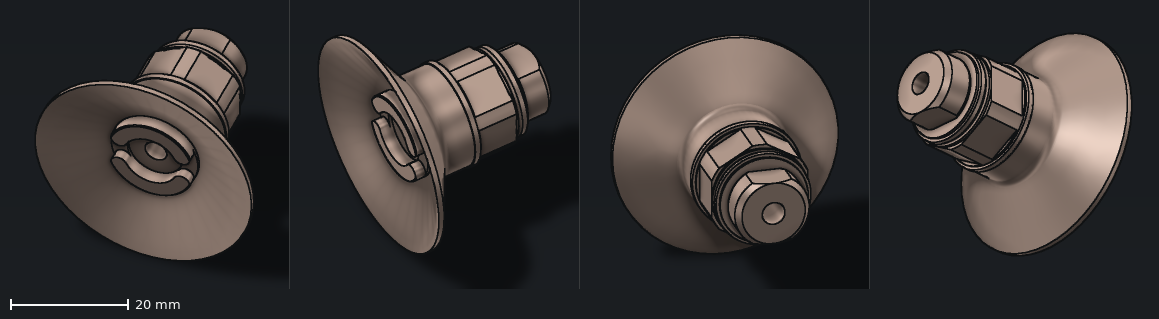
import cadquery as cq
import math

lip_radius = 20.0
lip_thickness = 1.1
cup_floor_y = 5.6
cup_floor_radius = 8.0
neck_radius = 9.5
neck_start_y = 8.4
throat_round = 1.65
cone_start_y = 7.0

collar_radius = 9.7
collar_start_y = 13.45
collar_end_y = 14.5
hex_corner_radius = 9.15
hex_start_y = 14.9
hex_end_y = 22.3
hex_flat_distance = 8.5
shoulder_end_y = 22.8
groove_radius = 7.2
groove_end_y = 23.1

flange_radius = 8.4
flange_chamfer = 0.4
flange_chamfer_end_y = 23.6
flange_end_y = 24.6
washer_radius = 7.8
washer_end_y = 25.1
head_radius = 6.6
head_base_radius = 6.3
head_base_end_y = 25.7
head_flat_distance = 5.6
head_chamfer = head_radius - head_flat_distance
head_end_y = 30.9

bore_radius = 2.0
support_inner_radius = 5.0
support_tip_y = 3.05
land_height = 0.6
land_y = cup_floor_y - land_height
support_chamfer = 0.2
support_end_radius = (cup_floor_radius - support_inner_radius) / 2
support_mid_radius = (cup_floor_radius + support_inner_radius) / 2
gap_clearance = 0.4
support_end_z = 3.0


def turned_body():
    throat_centre_radius = neck_radius + throat_round
    throat_angle = math.asin((neck_start_y - cone_start_y) / throat_round)

    def throat_point(angle):
        return (
            throat_centre_radius - throat_round * math.cos(angle),
            neck_start_y - throat_round * math.sin(angle),
        )

    profile = (
        cq.Workplane("XY")
        .moveTo(0, cup_floor_y)
        .lineTo(support_inner_radius, cup_floor_y)
        .lineTo(support_inner_radius, support_tip_y)
        .lineTo(cup_floor_radius - support_chamfer, support_tip_y)
        .lineTo(cup_floor_radius, support_tip_y + support_chamfer)
        .lineTo(cup_floor_radius, cup_floor_y)
        .lineTo(lip_radius, 0)
        .lineTo(lip_radius, lip_thickness)
        .lineTo(*throat_point(throat_angle))
        .threePointArc(throat_point(throat_angle / 2), (neck_radius, neck_start_y))
        .lineTo(neck_radius, collar_start_y)
        .lineTo(collar_radius, collar_start_y)
        .lineTo(collar_radius, collar_end_y)
        .lineTo(hex_corner_radius, collar_end_y)
        .lineTo(hex_corner_radius, hex_end_y)
        .lineTo(hex_flat_distance, hex_end_y)
        .lineTo(hex_flat_distance, shoulder_end_y)
        .lineTo(groove_radius, shoulder_end_y)
        .lineTo(groove_radius, groove_end_y)
        .lineTo(flange_radius - flange_chamfer, groove_end_y)
        .lineTo(flange_radius, flange_chamfer_end_y)
        .lineTo(flange_radius, flange_end_y)
        .lineTo(washer_radius, flange_end_y)
        .lineTo(washer_radius, washer_end_y)
        .lineTo(head_base_radius, washer_end_y)
        .lineTo(head_radius, head_base_end_y)
        .lineTo(head_radius, head_end_y - head_chamfer)
        .lineTo(head_radius - head_chamfer, head_end_y)
        .lineTo(0, head_end_y)
        .close()
    )
    return profile.revolve(360, (0, 0, 0), (0, 1, 0))


def y_cylinder(radius, start_y, end_y):
    centre = cq.Vector(0, start_y, 0)
    return cq.Workplane(cq.Solid.makeCylinder(radius, end_y - start_y, centre, cq.Vector(0, 1, 0)))


def flat_cutter(distance, start_y, end_y, angle):
    reach = lip_radius
    block = cq.Workplane("XY").box(reach, end_y - start_y, 2 * reach)
    block = block.translate((distance + reach / 2, (start_y + end_y) / 2, 0))
    return block.rotate((0, 0, 0), (0, 1, 0), angle)


def support_gap():
    end_x = math.sqrt(support_mid_radius**2 - support_end_z**2)
    clear_radius = cup_floor_radius + gap_clearance

    def at_end(radius):
        return (end_x * radius / support_mid_radius, support_end_z * radius / support_mid_radius)

    def below(point):
        return (point[0], -point[1])

    inner = at_end(support_inner_radius)
    outer = at_end(cup_floor_radius)
    clear = at_end(clear_radius)
    tip = (
        end_x + support_end_radius * support_end_z / support_mid_radius,
        support_end_z - support_end_radius * end_x / support_mid_radius,
    )
    return (
        cq.Workplane("XZ", origin=(0, land_y, 0))
        .moveTo(0, 0)
        .lineTo(*inner)
        .threePointArc(tip, outer)
        .lineTo(*clear)
        .threePointArc((clear_radius, 0), below(clear))
        .lineTo(*below(outer))
        .threePointArc(below(tip), below(inner))
        .close()
        .extrude(land_y - support_tip_y)
    )


result = turned_body()

for flat in range(6):
    result = result.cut(flat_cutter(hex_flat_distance, hex_start_y, hex_end_y, flat * 60))

for angle in (90, 270):
    result = result.cut(flat_cutter(head_flat_distance, washer_end_y, head_end_y, angle))

for angle in (0, 180):
    result = result.cut(support_gap().rotate((0, 0, 0), (0, 1, 0), angle))

result = result.cut(y_cylinder(bore_radius, 0, head_end_y))